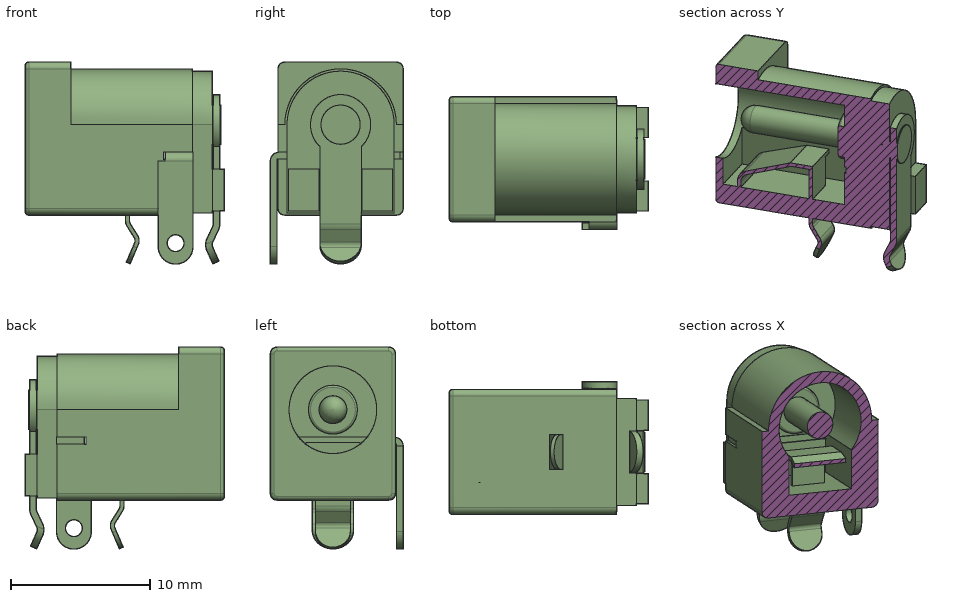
import cadquery as cq
import math


body_length = 12.0
body_width = 9.0
body_height = 11.0
axis_z = 6.5
head_length = 3.3
barrel_radius = 4.0
long_edge_radius = 0.5
front_edge_radius = 0.28

flange_end = 13.44
flange_radius = 3.85
flange_bottom = 0.15
block_end = 14.3
block_inner_y = 1.55
block_outer_y = 3.73
block_bottom = 0.32
block_top = 3.31

bore_radius = 3.15
bore_depth = 9.94
pocket_start = 0.6
pocket_half_width = 2.4
pocket_floor = 1.57

pin_radius = 1.0
pin_tip = 1.55
collar_radius = 1.75
collar_length = 0.5
collar_edge_radius = 0.15
rivet_radius = 1.41
rivet_end = 14.07

sheet = 0.5
side_gap = 0.06
side_bend_radius = 0.64
plate_front = 10.05
plate_top = 4.53
plate_far_y = 4.27
tab_front = 9.55
tab_rear = 12.06
hole_radius = 0.6
hole_z = -2.0
leg_bottom = -3.51

rear_sheet_front = 13.5
disc_radius = 2.16
rear_leg_half_width = 1.5
rear_bend_radius = 0.5
rear_upper_bend_z = -0.78
rear_lower_bend = (13.12, -2.1)
rear_tip = (13.7, -3.4)

spring_sheet = 0.3
spring_nose_half_width = 2.22
spring_crest_half_width = 1.93
spring_leg_half_width = 1.25
spring_leg_x = 7.35
spring_nose_x = 1.81
spring_crest_x = 5.8
spring_top = 4.15
spring_slope = math.radians(20)
spring_nose_radius = 0.7
spring_bend_radius = 0.4
spring_upper_bend_z = -0.58
spring_lower_bend = (8.11, -1.77)
spring_tip = (7.4, -3.42)

full_round = 0.999


def box(x0, x1, y0, y1, z0, z1):
    return cq.Workplane("XY").box(x1 - x0, y1 - y0, z1 - z0, centered=False).translate((x0, y0, z0))


def rod(x0, x1, radius):
    """Cylinder on the plug axis."""
    return cq.Workplane("YZ", origin=(x0, 0, axis_z)).circle(radius).extrude(x1 - x0)


def bent_strip(path, thickness, half_width, bend_radii):
    """Sheet strip following an XZ centre line; bend_radii are the inner radii at its corners."""
    headings = [math.atan2(z1 - z0, x1 - x0) for (x0, z0), (x1, z1) in zip(path, path[1:])]
    before = [headings[0]] + headings
    after = headings + [headings[-1]]
    left = []
    right = []
    for (x, z), h0, h1 in zip(path, before, after):
        normal = (h0 + h1 + math.pi) / 2
        reach = thickness / 2 / math.cos((h1 - h0) / 2)
        left.append((x + reach * math.cos(normal), z + reach * math.sin(normal)))
        right.append((x - reach * math.cos(normal), z - reach * math.sin(normal)))
    strip = cq.Workplane("XZ").polyline(left + right[::-1]).close().extrude(half_width, both=True)
    for i, radius in enumerate(bend_radii, start=1):
        turns_left = after[i] > before[i]
        inner, outer = (left[i], right[i]) if turns_left else (right[i], left[i])
        for (x, z), r in ((inner, radius), (outer, radius + thickness)):
            corner = cq.selectors.NearestToPointSelector((x, 0, z))
            strip = strip.edges("|Y").edges(corner).fillet(r)
    return strip


def round_tip(strip, path, thickness, half_width):
    """Round off the end of a strip in the plane of its last straight stretch."""
    (x0, z0), (x1, z1) = path[-2:]
    length = math.hypot(x1 - x0, z1 - z0)
    along = ((x1 - x0) / length, (z1 - z0) / length)
    center = (x1 - half_width * along[0], 0, z1 - half_width * along[1])
    plane = cq.Plane(origin=center, xDir=(along[0], 0, along[1]), normal=(-along[1], 0, along[0]))
    end = (
        cq.Workplane(plane)
        .center(half_width, 0)
        .rect(2 * half_width, 4 * half_width)
        .extrude(thickness, both=True)
    )
    disc = cq.Workplane(plane).circle(half_width).extrude(thickness, both=True)
    return strip.cut(end.cut(disc))


def housing():
    half = body_width / 2
    shell = box(0, body_length, -half, half, 0, body_height)
    shell = shell.edges("|X").fillet(long_edge_radius)
    shell = shell.faces("<X").edges().fillet(front_edge_radius)
    above = box(head_length, body_length, -half, half, axis_z, body_height)
    shell = shell.cut(above).union(rod(head_length, body_length, barrel_radius))

    flange = rod(body_length, flange_end, flange_radius)
    flange = flange.union(
        box(body_length, flange_end, -flange_radius, flange_radius, flange_bottom, axis_z)
    )
    shell = shell.union(flange)
    for y0 in (-block_outer_y, block_inner_y):
        y1 = y0 + block_outer_y - block_inner_y
        shell = shell.union(box(flange_end, block_end, y0, y1, block_bottom, block_top))

    pocket = box(pocket_start, bore_depth, -pocket_half_width, pocket_half_width, pocket_floor, axis_z)
    slot = box(bore_depth, body_length, -half, half, plate_top - sheet, plate_top)
    return shell.cut(rod(0, bore_depth, bore_radius)).cut(pocket).cut(slot)


def center_pin():
    pin = rod(pin_tip, rivet_end, pin_radius).faces("<X").edges().fillet(pin_radius * full_round)
    collar = rod(bore_depth - collar_length, bore_depth, collar_radius)
    collar = collar.faces("<X").edges().fillet(collar_edge_radius)
    rivet = rod(flange_end, rivet_end, rivet_radius)
    return pin.union(collar).union(rivet)


def side_terminal():
    inner_y = body_width / 2 + side_gap
    outer_y = inner_y + sheet
    plate = box(plate_front, tab_rear, -outer_y, plate_far_y, plate_top - sheet, plate_top)

    tab_radius = (tab_rear - tab_front) / 2
    tab_x = tab_front + tab_radius
    tab_top = plate_top - side_bend_radius
    tab_end = leg_bottom + tab_radius
    tab = box(tab_front, tab_rear, -outer_y, -inner_y, tab_end, tab_top)
    bend = plate.union(box(plate_front, tab_rear, -outer_y, -inner_y, tab_top, plate_top - sheet))
    bend = bend.edges("|X and <Y and >Z").fillet(side_bend_radius * full_round)
    across = cq.Workplane("XZ", origin=(0, -inner_y, 0))
    tab = tab.union(across.center(tab_x, tab_end).circle(tab_radius).extrude(sheet))
    tab = tab.cut(across.center(tab_x, hole_z).circle(hole_radius).extrude(sheet))
    return bend.union(tab)


def rear_terminal():
    x = rear_sheet_front + sheet / 2
    path = [(x, axis_z), (x, rear_upper_bend_z), rear_lower_bend, rear_tip]
    leg = bent_strip(path, sheet, rear_leg_half_width, [rear_bend_radius] * 2)
    leg = round_tip(leg, path, sheet, rear_leg_half_width)
    return leg.union(rod(rear_sheet_front, rear_sheet_front + sheet, disc_radius))


def contact_spring():
    flat_z = spring_top - spring_sheet / 2
    nose_z = flat_z - (spring_crest_x - spring_nose_x) * math.tan(spring_slope)
    blade_path = [
        (spring_nose_x, pocket_floor),
        (spring_nose_x, nose_z),
        (spring_crest_x, flat_z),
        (spring_leg_x + spring_sheet / 2, flat_z),
    ]
    blade = bent_strip(blade_path, spring_sheet, spring_nose_half_width, [spring_nose_radius])
    taper = [
        (pocket_start, spring_nose_half_width),
        (spring_nose_x, spring_nose_half_width),
        (spring_crest_x, spring_crest_half_width),
        (bore_depth, spring_crest_half_width),
    ]
    mirrored = [(x, -y) for x, y in reversed(taper)]
    blade = blade.intersect(cq.Workplane("XY").polyline(taper + mirrored).close().extrude(axis_z))
    leg_path = [
        (spring_leg_x, flat_z),
        (spring_leg_x, spring_upper_bend_z),
        spring_lower_bend,
        spring_tip,
    ]
    leg = bent_strip(leg_path, spring_sheet, spring_leg_half_width, [spring_bend_radius] * 2)
    leg = round_tip(leg, leg_path, spring_sheet, spring_leg_half_width)
    return blade.union(leg)


result = (
    housing()
    .union(center_pin())
    .union(side_terminal())
    .union(rear_terminal())
    .union(contact_spring())
)